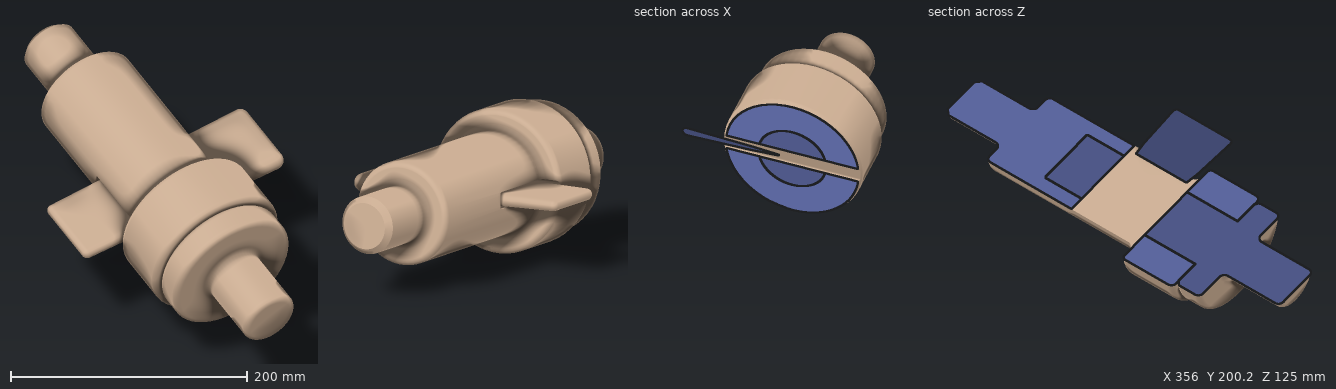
import cadquery as cq
import math


total_length = 356.0
rod_radius = 25.0
rod_length = 59.8
edge_round = 5.0

socket_radius = 45.0
collar_radius = 125.0 / 2
collar_length = 54.5

flange_radius = 57.5
flange_length = 25.0
plug_radius = 30.3
plug_margin = 37.5

match_tolerance = 0.05

socket_start = rod_length
flange_end = total_length - rod_length
joint_face = flange_end - flange_length
collar_start = joint_face - collar_length

cotter_flat_width = 53.8
cotter_center_x = 184.0
thick_radius = 16.0 / 2
thin_radius = 10.0 / 2
thick_tip_y = 103.0
thin_tip_y = -97.2

slot_length = 69.5
slot_height = 14.5
slot_corner_radius = 2.5

plug_tip = cotter_center_x - slot_length / 2 - plug_margin


def rod_along_x(start, end, radius):
    """Solid cylinder on the X axis between two stations."""
    return cq.Workplane("YZ", origin=(start, 0, 0)).circle(radius).extrude(end - start)


def circular_edge(body, station, radius):
    """The circular edge of a given radius at a station on X, selected for an edge treatment."""
    return body.edges("%CIRCLE").filter(
        lambda edge: math.isclose(edge.Center().x, station, abs_tol=match_tolerance)
        and math.isclose(edge.radius(), radius, abs_tol=match_tolerance)
    )


def round_edges(body, edges):
    """Round each (station, radius) edge, outside shoulders and inside corners alike."""
    for station, radius in edges:
        body = circular_edge(body, station, radius).fillet(edge_round)
    return body


def make_slot():
    """Cutter for the rectangular slot with rounded corners, straight through along Y."""
    return (
        cq.Workplane("XZ", origin=(cotter_center_x, 0, 0))
        .rect(slot_length, slot_height)
        .extrude(collar_radius + edge_round, both=True)
        .edges("|Y")
        .fillet(slot_corner_radius)
    )


def make_socket():
    """Rod, sleeve and collar with the bore for the plug and the cotter slot."""
    body = rod_along_x(0, socket_start, rod_radius)
    body = body.union(rod_along_x(socket_start, collar_start, socket_radius))
    body = body.union(rod_along_x(collar_start, joint_face, collar_radius))

    body = circular_edge(body, 0, rod_radius).chamfer(edge_round)

    rounded_edges = [
        (socket_start, rod_radius),
        (socket_start, socket_radius),
        (collar_start, socket_radius),
        (collar_start, collar_radius),
        (joint_face, collar_radius),
    ]
    body = round_edges(body, rounded_edges)

    body = body.cut(rod_along_x(plug_tip, joint_face, plug_radius))
    return body.cut(make_slot())


def make_spigot():
    """Plug, flange and rod with the cotter slot."""
    body = rod_along_x(joint_face, flange_end, flange_radius)
    body = body.union(rod_along_x(flange_end, total_length, rod_radius))
    rounded_edges = [
        (joint_face, flange_radius),
        (flange_end, flange_radius),
        (flange_end, rod_radius),
        (total_length, rod_radius),
    ]
    body = round_edges(body, rounded_edges)

    body = body.union(rod_along_x(plug_tip, joint_face, plug_radius))
    return body.cut(make_slot())


def cotter_profile(x):
    """Half outline of the tapered, round-tipped cotter on the +Z side of the Y axis."""
    thick_center = thick_tip_y - thick_radius
    thin_center = thin_tip_y + thin_radius

    taper = math.asin((thick_radius - thin_radius) / (thick_center - thin_center))

    def on_tip(center, radius, angle):
        return (center + radius * math.cos(angle), radius * math.sin(angle))

    side = math.pi / 2 + taper
    return (
        cq.Workplane("YZ", origin=(x, 0, 0))
        .moveTo(thick_tip_y, 0)
        .threePointArc(
            on_tip(thick_center, thick_radius, side / 2),
            on_tip(thick_center, thick_radius, side),
        )
        .lineTo(*on_tip(thin_center, thin_radius, side))
        .threePointArc(
            on_tip(thin_center, thin_radius, (side + math.pi) / 2),
            (thin_tip_y, 0),
        )
        .close()
    )


def make_cotter():
    """Flat middle plate with fully rounded, tapered long edges."""
    left = cotter_center_x - cotter_flat_width / 2
    right = left + cotter_flat_width
    upper_half = cotter_profile(left).extrude(cotter_flat_width)
    cotter = upper_half.union(upper_half.mirror("XY"))
    for x in (left, right):
        cotter = cotter.union(cotter_profile(x).revolve(360, (0, 0, 0), (1, 0, 0)))
    return cotter.clean()


socket = make_socket()
spigot = make_spigot()
cotter = make_cotter()

result = cq.Compound.makeCompound(
    [*socket.solids().vals(), *spigot.solids().vals(), *cotter.solids().vals()]
)